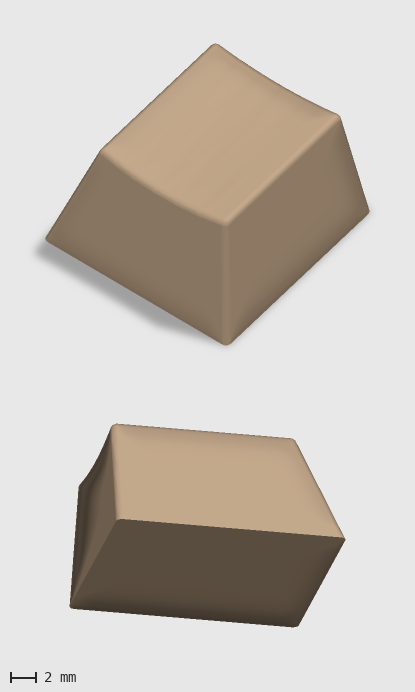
import cadquery as cq

base_size = 18.1

blank_height = 10.86

side_inset = 3.3
front_inset = 3.98
back_inset = 0.16

dish_floor_height = 8.8
dish_radius = 32.58

edge_radius = 0.5

base_band = 0.18


def tapered_body():
    """Solid with four planar walls narrowing from the square base."""
    half = base_size / 2
    top_width = base_size - 2 * side_inset
    top_front = -half + front_inset
    top_back = half - back_inset
    return (
        cq.Workplane("XY")
        .rect(base_size, base_size)
        .workplane(offset=blank_height)
        .center(0, (top_front + top_back) / 2)
        .rect(top_width, top_back - top_front)
        .loft(ruled=True)
    )


def dish_cutter():
    """Cylinder whose lowest line forms the floor of the dish."""
    return (
        cq.Workplane("XZ")
        .center(0, dish_floor_height + dish_radius)
        .circle(dish_radius)
        .extrude(base_size, both=True)
    )


keycap = tapered_body().cut(dish_cutter())

base_edges = cq.selectors.BoxSelector(
    (-base_size, -base_size, -base_band), (base_size, base_size, base_band)
)
result = keycap.edges(cq.selectors.InverseSelector(base_edges)).fillet(edge_radius)